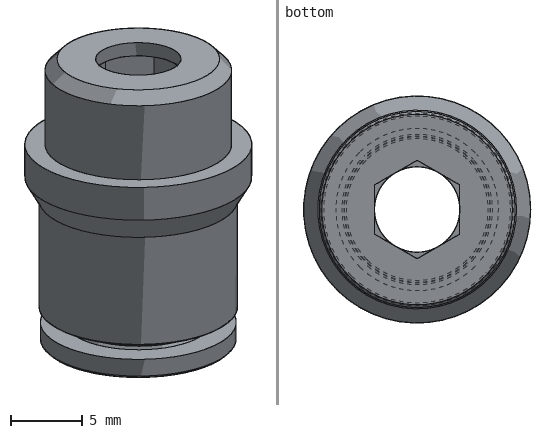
import cadquery as cq
import math

height = 21.5

collar_radius = 13.8 / 2
collar_top = 1.46
collar_chamfer = 0.2

neck_radius = 10.0 / 2
neck_foot_height = 0.22
neck_foot_flare = 0.13
lip_radius = 10.6 / 2
lip_height = 0.22
lip_taper = 0.13

body_radius = 14.0 / 2
body_bottom = 2.5
body_chamfer_width = 0.22
body_chamfer_height = 0.15

flange_radius = 16.0 / 2
flange_top = 15.0
flange_thickness = 2.5
flange_taper_height = 1.72

spigot_radius = 13.15 / 2
spigot_chamfer = 0.85

bore_diameter = 6.0
mouth_depth = 1.0
hex_corner_diameter = bore_diameter / math.cos(math.radians(30))


def make_outer_body():
    """Revolve the (radius, Z) outline about the Z axis."""
    flange_bottom = flange_top - flange_thickness
    outline = [
        (0, 0),
        (collar_radius - collar_chamfer, 0),
        (collar_radius, collar_chamfer),
        (collar_radius, collar_top),
        (neck_radius + neck_foot_flare, collar_top),
        (neck_radius, collar_top + neck_foot_height),
        (neck_radius, body_bottom - lip_height),
        (lip_radius, body_bottom - lip_height),
        (lip_radius - lip_taper, body_bottom),
        (body_radius - body_chamfer_width, body_bottom),
        (body_radius, body_bottom + body_chamfer_height),
        (body_radius, flange_bottom - flange_taper_height),
        (flange_radius, flange_bottom),
        (flange_radius, flange_top),
        (spigot_radius, flange_top),
        (spigot_radius, height - spigot_chamfer),
        (spigot_radius - spigot_chamfer, height),
        (0, height),
    ]
    return cq.Workplane("XZ").polyline(outline).close().revolve(360, (0, 0), (0, 1))


def make_bore():
    """Join the hexagon socket and its round mouth into one through cutter."""
    socket = (
        cq.Workplane("XY")
        .transformed(rotate=(0, 0, 90))
        .polygon(6, hex_corner_diameter)
        .extrude(height - mouth_depth)
    )
    mouth = (
        cq.Workplane("XY")
        .workplane(offset=height - mouth_depth)
        .circle(bore_diameter / 2)
        .extrude(mouth_depth)
    )
    return socket.union(mouth)


result = make_outer_body().cut(make_bore())